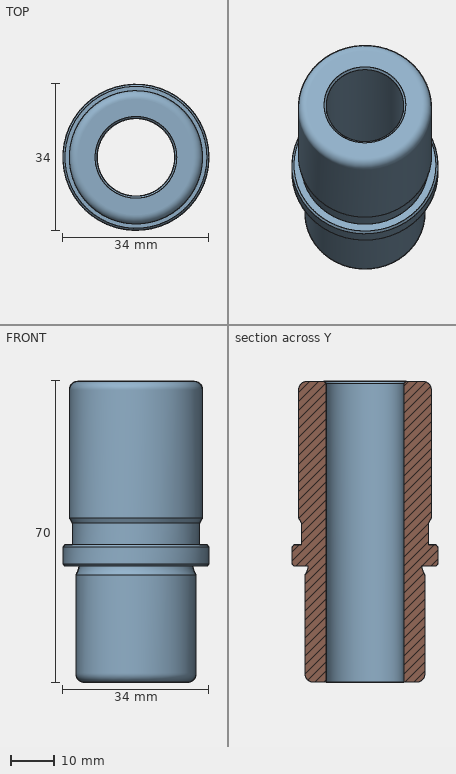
import cadquery as cq
import math

total_height = 70.0
flange_bottom = 27.0
flange_height = 5.0
flange_top = flange_bottom + flange_height

bore_diameter = 18.0
spigot_diameter = 28.0
flange_diameter = 34.0
neck_diameter = 29.6
head_diameter = 31.0

end_fillet = 2.0
flange_chamfer = 0.5
bore_chamfer = 0.5
neck_height = 5.0
neck_taper_angle = 30.0
undercut_height = 2.0
undercut_depth = 0.75
undercut_arc_radius = 5.0


def outer_profile():
    """Half section of the turned body, drawn with radius along X and height along Z."""
    spigot_radius = spigot_diameter / 2
    flange_radius = flange_diameter / 2
    neck_radius = neck_diameter / 2
    head_radius = head_diameter / 2
    neck_top = flange_top + neck_height
    neck_taper_height = (head_radius - neck_radius) / math.tan(math.radians(neck_taper_angle))
    return (
        cq.Workplane("XZ")
        .lineTo(spigot_radius, 0)
        .lineTo(spigot_radius, flange_bottom - undercut_height)
        .radiusArc((spigot_radius - undercut_depth, flange_bottom), undercut_arc_radius)
        .lineTo(flange_radius - flange_chamfer, flange_bottom)
        .lineTo(flange_radius, flange_bottom + flange_chamfer)
        .lineTo(flange_radius, flange_top - flange_chamfer)
        .lineTo(flange_radius - flange_chamfer, flange_top)
        .lineTo(neck_radius, flange_top)
        .lineTo(neck_radius, neck_top)
        .lineTo(head_radius, neck_top + neck_taper_height)
        .lineTo(head_radius, total_height)
        .lineTo(0, total_height)
        .close()
    )


def turned_body():
    """Solid of revolution with rounded outer edges at both ends."""
    body = outer_profile().revolve(360, (0, 0, 0), (0, 1, 0))
    return body.faces("<Z or >Z").edges().fillet(end_fillet)


def bore():
    """Through bore with a chamfered mouth at the top."""
    cylinder = cq.Workplane("XY").circle(bore_diameter / 2).extrude(total_height)
    mouth = (
        cq.Workplane("XY", origin=(0, 0, total_height - bore_chamfer))
        .circle(bore_diameter / 2)
        .workplane(offset=bore_chamfer)
        .circle(bore_diameter / 2 + bore_chamfer)
        .loft()
    )
    return cylinder.union(mouth)


result = turned_body().cut(bore())